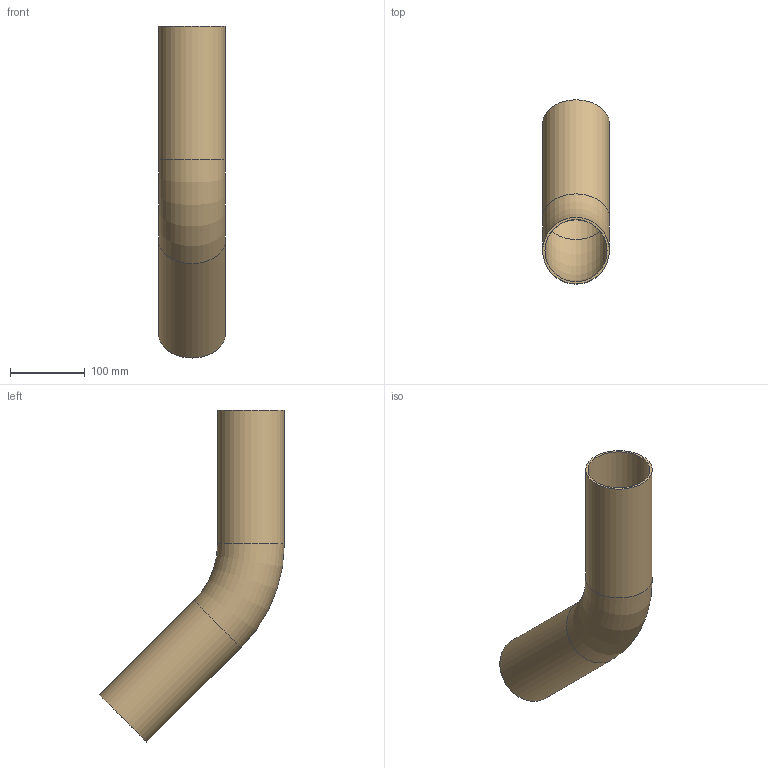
import cadquery as cq
import math

outer_diameter = 88.9
inner_diameter = 82.8
bend_radius = 152.4
bend_angle = 45.0
leg_length = 177.8



def bend_point(angle):
    """Centreline point (y, z) after turning by the given angle in degrees."""
    turn = math.radians(angle)
    return (bend_radius * (1 - math.cos(turn)), -bend_radius * math.sin(turn))


def make_centreline():
    """Vertical leg, circular bend and inclined leg, running from top to bottom."""
    turn = math.radians(bend_angle)
    bend_end_y, bend_end_z = bend_point(bend_angle)
    lower_end = (
        bend_end_y + leg_length * math.sin(turn),
        bend_end_z - leg_length * math.cos(turn),
    )
    return (
        cq.Workplane("YZ")
        .moveTo(0, leg_length)
        .lineTo(0, 0)
        .threePointArc(bend_point(bend_angle / 2), (bend_end_y, bend_end_z))
        .lineTo(*lower_end)
    )


def make_pipe():
    """Sweep the ring-shaped pipe section along the centreline."""
    section = (
        cq.Workplane("XY", origin=(0, 0, leg_length))
        .circle(outer_diameter / 2)
        .circle(inner_diameter / 2)
    )
    return section.sweep(make_centreline())


result = make_pipe()